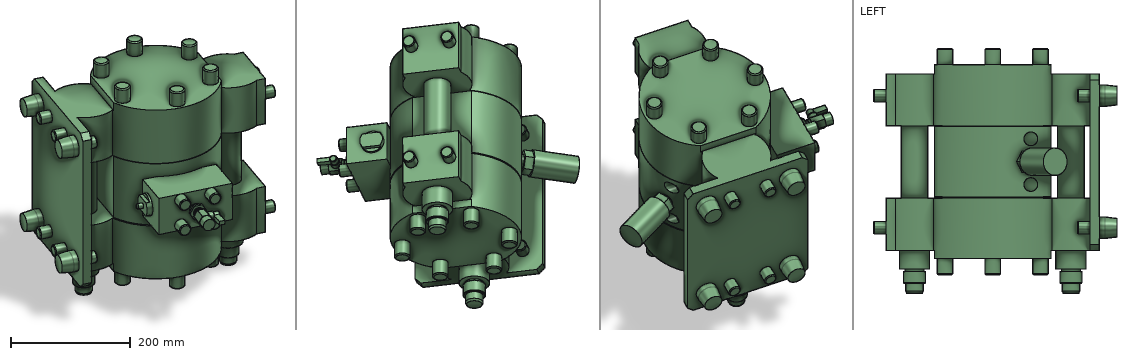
import cadquery as cq
import math


body_radius = 110.0
body_flat_y = 97.7
cover_end_z = 162.5
upper_cover_z = 60.0
middle_top_z = 59.0
middle_bottom_z = -58.5
lower_cover_z = -60.8
body_neck_radius = 84.5

cover_bolt_circle = 92.2
cover_bolt_count = 6
cover_bolt_radius = 13.0
cover_bolt_height = 27.0
cover_bolt_chamfer = 2.0

port_y = -63.7
port_z = 38.2
port_radius = 11.5
port_depth = 12.7

block_radius = 58.0
block_center_y = 131.0
block_inner_y = 99.0
block_round_end_y = 2 * block_center_y - block_inner_y
block_outer_y = 178.5
block_half_width = math.sqrt(block_radius**2 - (block_center_y - block_inner_y) ** 2)
block_top_z = 147.0
block_bottom_z = -148.7

pipe_radius = 22.5

connector_radius = 25.5
connector_end_z = -179.8
connector_neck_radius = 16.0
connector_neck_end_z = -184.0
collar_radius = 18.5
collar_end_z = -203.5
collar_chamfer = 1.3
tip_radius = 15.0
tip_end_z = -220.0
tip_chamfer_radial = 1.5
tip_chamfer_length = 4.0

plate_inner_y = -block_round_end_y
plate_outer_y = -block_outer_y
plate_half_width = body_radius
plate_chamfer = 10.0

bolt_radius = 10.5
bolt_height = 21.2
bolt_chamfer = 1.5
block_bolt_x = 32.7
plate_bolt_z = 110.5

foot_x = 76.0
foot_radius = 18.3
foot_tip_radius = 15.7
foot_straight_length = 9.5
foot_length = 29.7

valve_inner_x = 102.5
valve_outer_x = 172.0
valve_half_length = 66.7
valve_half_height = 35.0
valve_bolt_y = 27.0
valve_bolt_z = valve_half_height - bolt_radius

cap_x = 127.0
cap_radius = 19.5
cap_length = 10.5
cap_round_length = 4.0
cap_flat_half_height = 12.7
pin_radius = 4.5
pin_length = 11.0
pin_chamfer = 2.0

cock_pipe_radius = 10.5
cock_neck_radius = 9.0
lock_nut_start_x = 180.0
lock_nut_end_x = 184.5
lock_nut_flats = 26.0
cock_neck_end_x = 190.0
cock_hex_start_x = 194.2
cock_hex_end_x = 217.0
cock_hex_flats = 22.0
cock_end_x = 231.0

stem_x = 204.5
stem_collar_radius = 8.0
stem_collar_start_y = 4.2
stem_collar_end_y = 18.3
stem_radius = 6.5
stem_end_y = 29.5
stem_chamfer = 1.3
handle_end_x = 232.5
handle_outer_y = 28.0
handle_root_y = 16.0
handle_tip_y = 18.3
handle_half_width = 4.0

silencer_angle = 210.0
silencer_radius = 23.0
silencer_end = 209.0
silencer_start = 131.0
silencer_hex_start = 115.5
silencer_hex_flats = 35.5
silencer_stub_radius = 13.0


def cylinder(start, end, radius):
    """Round bar between two points."""
    axis = cq.Vector(*end) - cq.Vector(*start)
    return cq.Workplane(cq.Solid.makeCylinder(radius, axis.Length, cq.Vector(*start), axis))


def box(x_range, y_range, z_range):
    """Axis-aligned block between three pairs of limits."""
    size = [limits[1] - limits[0] for limits in (x_range, y_range, z_range)]
    corner = (x_range[0], y_range[0], z_range[0])
    return cq.Workplane("XY").box(*size, centered=False).translate(corner)


def bolt(foot, direction, radius, height, chamfer):
    """Bolt end with a chamfered tip, standing on the point foot."""
    plane = cq.Plane(origin=foot, normal=direction)
    tip = cq.selectors.DirectionMinMaxSelector(cq.Vector(*direction))
    return cq.Workplane(plane).circle(radius).extrude(height).faces(tip).chamfer(chamfer)


def small_bolt(foot, direction):
    """Bolt end of the size shared by the plate, the blocks and the air valve."""
    return bolt(foot, direction, bolt_radius, bolt_height, bolt_chamfer)


def hexagon_bar(start_x, end_x, flats):
    """Hexagonal bar along X with corners at -Y and +Y."""
    plane = cq.Plane(origin=(start_x, 0, 0), xDir=(0, 1, 0), normal=(1, 0, 0))
    corner_diameter = flats / math.cos(math.pi / 6)
    return cq.Workplane(plane).polygon(6, corner_diameter).extrude(end_x - start_x)


def body_section(bottom_z, top_z, flat_y=body_flat_y):
    """Round body slice with flats at -flat_y and +flat_y."""
    disc = cylinder((0, 0, bottom_z), (0, 0, top_z), body_radius)
    return disc.intersect(
        box((-body_radius, body_radius), (-flat_y, flat_y), (bottom_z, top_z))
    )


def pump_body():
    """Covers and middle section with the exhaust ports and the cover bolts."""
    body = cylinder((0, 0, -cover_end_z), (0, 0, cover_end_z), body_neck_radius)
    body = body.union(body_section(-cover_end_z, lower_cover_z))
    body = body.union(body_section(middle_bottom_z, middle_top_z))
    body = body.union(body_section(upper_cover_z, cover_end_z))
    body = body.union(body_section(block_bottom_z, lower_cover_z, block_inner_y))
    body = body.union(body_section(upper_cover_z, block_top_z, block_inner_y))
    surface_x = -math.sqrt(body_radius**2 - port_y**2)
    for z in (-port_z, port_z):
        port = cylinder((-body_radius, port_y, z), (surface_x + port_depth, port_y, z), port_radius)
        body = body.cut(port)
    for i in range(cover_bolt_count):
        angle = 2 * math.pi * i / cover_bolt_count
        x = cover_bolt_circle * math.cos(angle)
        y = cover_bolt_circle * math.sin(angle)
        for side in (-1, 1):
            body = body.union(
                bolt((x, y, side * cover_end_z), (0, 0, side),
                     cover_bolt_radius, cover_bolt_height, cover_bolt_chamfer)
            )
    return body


def manifold_block(side, bottom_z, top_z):
    """Block with bulging sides; side is -1 for -Y and +1 for +Y."""
    outline = (
        cq.Workplane("XY", origin=(0, 0, bottom_z))
        .moveTo(-block_half_width, side * block_inner_y)
        .threePointArc(
            (-block_radius, side * block_center_y), (-block_half_width, side * block_round_end_y)
        )
        .lineTo(-block_half_width, side * block_outer_y)
        .lineTo(block_half_width, side * block_outer_y)
        .lineTo(block_half_width, side * block_round_end_y)
        .threePointArc(
            (block_radius, side * block_center_y), (block_half_width, side * block_inner_y)
        )
        .close()
    )
    return outline.extrude(top_z - bottom_z)


def hose_connector():
    """Stepped connector about the Z axis, hanging below a lower block."""
    profile = [
        (0, block_bottom_z),
        (connector_radius, block_bottom_z),
        (connector_radius, connector_end_z),
        (connector_neck_radius, connector_end_z),
        (connector_neck_radius, connector_neck_end_z),
        (collar_radius, connector_neck_end_z),
        (collar_radius, collar_end_z + collar_chamfer),
        (collar_radius - collar_chamfer, collar_end_z),
        (tip_radius, collar_end_z),
        (tip_radius, tip_end_z + tip_chamfer_length),
        (tip_radius - tip_chamfer_radial, tip_end_z),
        (0, tip_end_z),
    ]
    return cq.Workplane("XZ").polyline(profile).close().revolve(360, (0, 0, 0), (0, 1, 0))


def manifold(side):
    """Upper and lower block on one side, their pipe, connector and bolts."""
    y = side * block_center_y
    part = manifold_block(side, block_bottom_z, lower_cover_z)
    part = part.union(manifold_block(side, upper_cover_z, block_top_z))
    part = part.union(cylinder((0, y, lower_cover_z), (0, y, upper_cover_z), pipe_radius))
    part = part.union(hose_connector().translate((0, y, 0)))
    for x in (-block_bolt_x, block_bolt_x):
        for z in (-plate_bolt_z, plate_bolt_z):
            part = part.union(small_bolt((x, side * block_outer_y, z), (0, side, 0)))
    return part


def foot(x, z):
    """Foot that tapers towards its tip, pointing to -Y."""
    profile = [
        (0, plate_outer_y),
        (foot_radius, plate_outer_y),
        (foot_radius, plate_outer_y - foot_straight_length),
        (foot_tip_radius, plate_outer_y - foot_length),
        (0, plate_outer_y - foot_length),
    ]
    shape = cq.Workplane("XY").polyline(profile).close().revolve(360, (0, 0, 0), (0, 1, 0))
    return shape.translate((x, 0, z))


def mounting_plate():
    """Plate with chamfered corners, carrying the feet and their bolts."""
    plate = box(
        (-plate_half_width, plate_half_width),
        (plate_outer_y, plate_inner_y),
        (block_bottom_z, block_top_z),
    )
    plate = plate.edges("|Y").chamfer(plate_chamfer)
    for x in (-foot_x, foot_x):
        for z in (-plate_bolt_z, plate_bolt_z):
            plate = plate.union(foot(x, z))
            plate = plate.union(small_bolt((x, plate_inner_y, z), (0, 1, 0)))
    return plate


def valve_cap(side):
    """Round cap with two flats on one Y end of the valve block."""
    start_y = side * valve_half_length
    flat_y = start_y + side * cap_round_length
    end_y = start_y + side * cap_length
    base = cylinder((cap_x, start_y, 0), (cap_x, flat_y, 0), cap_radius)
    grip = cylinder((cap_x, flat_y, 0), (cap_x, end_y, 0), cap_radius)
    flats = box(
        (cap_x - cap_radius, cap_x + cap_radius),
        sorted((flat_y, end_y)),
        (-cap_flat_half_height, cap_flat_half_height),
    )
    return base.union(grip.intersect(flats))


def air_valve():
    """Valve block with end caps, a reset pin and four bolts."""
    valve = box(
        (valve_inner_x, valve_outer_x),
        (-valve_half_length, valve_half_length),
        (-valve_half_height, valve_half_height),
    )
    for side in (-1, 1):
        valve = valve.union(valve_cap(side))
    pin_foot = (cap_x, -valve_half_length - cap_length, 0)
    valve = valve.union(bolt(pin_foot, (0, -1, 0), pin_radius, pin_length, pin_chamfer))
    for y in (-valve_bolt_y, valve_bolt_y):
        for z in (-valve_bolt_z, valve_bolt_z):
            valve = valve.union(small_bolt((valve_outer_x, y, z), (1, 0, 0)))
    return valve


def shut_off_cock():
    """Pipe with a lock nut and a hexagonal body, plus its stem and lever handle."""
    cock = cylinder((valve_outer_x, 0, 0), (lock_nut_end_x, 0, 0), cock_pipe_radius)
    cock = cock.union(hexagon_bar(lock_nut_start_x, lock_nut_end_x, lock_nut_flats))
    cock = cock.union(cylinder((lock_nut_end_x, 0, 0), (cock_neck_end_x, 0, 0), cock_neck_radius))
    cock = cock.union(cylinder((cock_neck_end_x, 0, 0), (cock_end_x, 0, 0), cock_pipe_radius))
    cock = cock.union(hexagon_bar(cock_hex_start_x, cock_hex_end_x, cock_hex_flats))
    cock = cock.union(
        cylinder((stem_x, stem_collar_start_y, 0), (stem_x, stem_collar_end_y, 0), stem_collar_radius)
    )
    cock = cock.union(
        bolt((stem_x, stem_collar_end_y, 0), (0, 1, 0),
             stem_radius, stem_end_y - stem_collar_end_y, stem_chamfer)
    )
    handle = (
        cq.Workplane("XY")
        .polyline(
            [
                (stem_x, handle_root_y),
                (handle_end_x, handle_tip_y),
                (handle_end_x, handle_outer_y),
                (stem_x, handle_outer_y),
            ]
        )
        .close()
        .extrude(handle_half_width, both=True)
    )
    return cock.union(handle)


def silencer():
    """Silencer built along +X, then turned to its direction."""
    part = cylinder((body_neck_radius, 0, 0), (silencer_start, 0, 0), silencer_stub_radius)
    part = part.union(hexagon_bar(silencer_hex_start, silencer_start, silencer_hex_flats))
    part = part.union(cylinder((silencer_start, 0, 0), (silencer_end, 0, 0), silencer_radius))
    return part.rotate((0, 0, 0), (0, 0, 1), silencer_angle)


result = pump_body()
for y_side in (-1, 1):
    result = result.union(manifold(y_side))
result = result.union(mounting_plate())
result = result.union(air_valve())
result = result.union(shut_off_cock())
result = result.union(silencer())